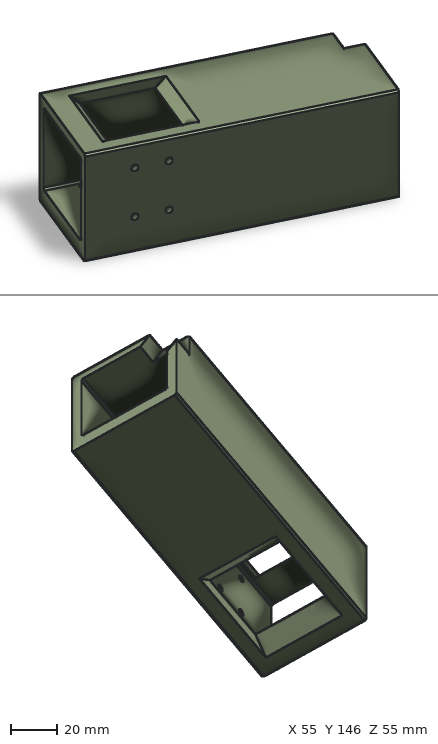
import cadquery as cq

length = 146.0
side = 55.0
outer_chamfer = 1.0
wall = 5.0
floor_thickness = 8.0
cavity_chamfer = 1.0

window_width = 40.0
window_length = 45.0
window_center_y = -39.5

notch_leg = 14.2
notch_length = 10.0

hole_diameter = 3.2
hole_center_y = -41.9
hole_center_z = 3.0
hole_spacing_y = 15.9
hole_spacing_z = 25.0

half = side / 2
cavity_width = side - 2 * wall
cavity_height = side - wall - floor_thickness
cavity_center_z = (floor_thickness - wall) / 2


def make_tube():
    """Chamfered square bar with a chamfered cavity along its full length."""
    bar = cq.Workplane("XY").box(side, length, side).edges("|Y").chamfer(outer_chamfer)
    cavity = cq.Workplane("XY").box(cavity_width, length, cavity_height)
    cavity = cavity.edges("|Y").chamfer(cavity_chamfer)
    return bar.cut(cavity.translate((0, 0, cavity_center_z)))


def make_windows():
    """Both openings as one prism, wide at the outer faces and narrow at the cavity."""
    outer_half = window_length / 2
    inner_half = outer_half - wall
    cavity_top = half - wall
    cavity_bottom = floor_thickness - half
    bottom_half = inner_half + floor_thickness
    profile = [
        (-outer_half, half),
        (outer_half, half),
        (inner_half, cavity_top),
        (inner_half, cavity_bottom),
        (bottom_half, -half),
        (-bottom_half, -half),
        (-inner_half, cavity_bottom),
        (-inner_half, cavity_top),
    ]
    prism = cq.Workplane("YZ").polyline(profile).close().extrude(window_width / 2, both=True)
    return prism.translate((0, window_center_y, 0))


def make_notch():
    """Rectangular cutter running diagonally inward from the tube edge to the cavity."""
    profile = [
        (-half - notch_leg, half),
        (-half, half + notch_leg),
        (-half + notch_leg + wall, half - wall),
        (-half + wall, half - notch_leg - wall),
    ]
    end_plane = cq.Workplane("XZ", origin=(0, length / 2, 0))
    return end_plane.polyline(profile).close().extrude(notch_length)


def make_screw_holes():
    """Four drills through the +X wall on a rectangular pattern."""
    wall_plane = cq.Workplane("YZ", origin=(half - 2 * wall, hole_center_y, hole_center_z))
    pattern = wall_plane.rarray(hole_spacing_y, hole_spacing_z, 2, 2)
    return pattern.circle(hole_diameter / 2).extrude(2 * wall)


result = make_tube().cut(make_windows()).cut(make_notch()).cut(make_screw_holes())